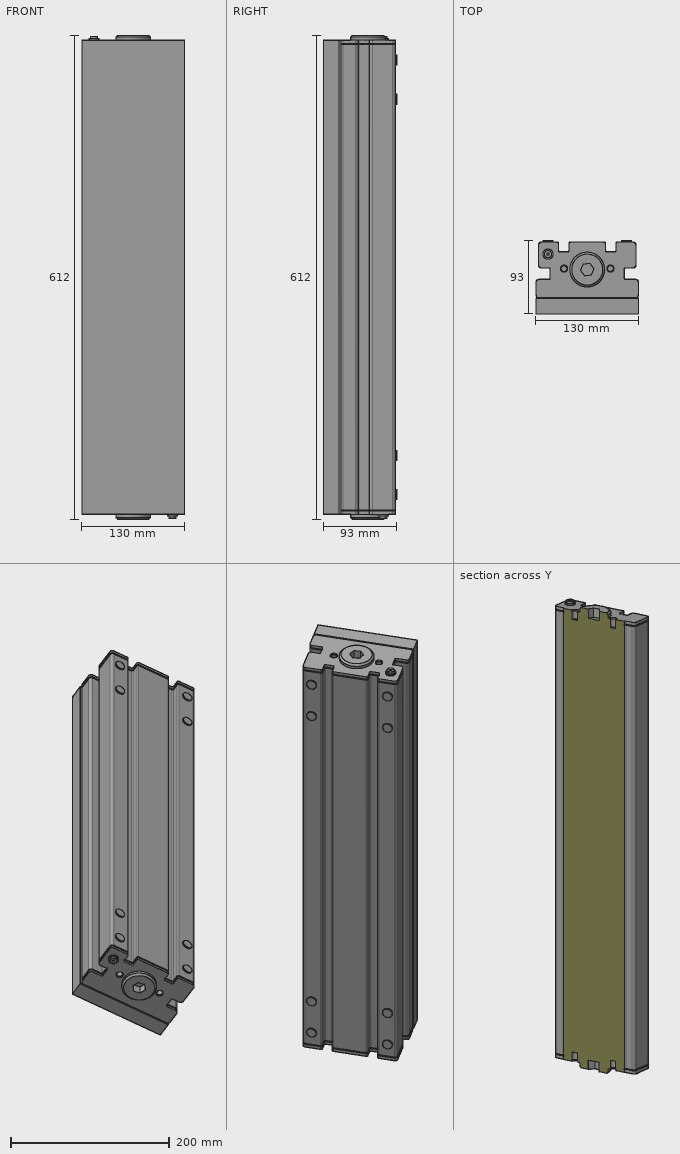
import cadquery as cq

length = 612.0
body_length = 600.0
width = 130.0
depth = 93.0
pad_height = 2.0
body_depth = depth - pad_height
body_top = body_length / 2
end_height = (length - body_length) / 2

groove_width = 1.0
groove_depth = 0.5
cap_thickness = 4.0

plate_thickness = 19.5
bar_front = plate_thickness + groove_width
upper_width = 123.5
side_slot_front = 44.0
side_slot_back = 58.0
side_slot_floor_width = 94.0
back_slot_inner = 23.0
back_slot_outer = 36.0
back_slot_floor = 79.0

edge_radius = 3.5
lip_radius = 2.0
floor_radius = 1.0

hub_y = 56.0
hub_diameter = 44.0
hub_chamfer = 2.5
socket_across_corners = 17.0
socket_depth = 12.0
socket_turn = 7.0

screw_x = 29.5
screw_y = 57.5
screw_hole_diameter = 9.0
screw_hole_depth = 2.0
screw_core_diameter = 7.5
screw_core_depth = 12.0

nipple_x = 49.5
nipple_y = 76.0
nipple_base_diameter = 13.0
nipple_base_height = 2.0
nipple_height = 5.0
nipple_tip_diameter = 9.0
nipple_bore_diameter = 3.0

pad_x = nipple_x
pad_diameter = 13.0
pad_end_distances = (25.0, 74.5)


def mirrored(solid, plane):
    return solid.union(solid.mirror(plane))


def slotted_prism(prism_length):
    """Bar with one slot in each side and two in the back, centred on Z."""
    corners = [
        (width / 2, bar_front, edge_radius),
        (width / 2, side_slot_front, edge_radius),
        (side_slot_floor_width / 2, side_slot_front, floor_radius),
        (side_slot_floor_width / 2, side_slot_back, floor_radius),
        (upper_width / 2, side_slot_back, edge_radius),
        (upper_width / 2, body_depth, edge_radius),
        (back_slot_outer, body_depth, lip_radius),
        (back_slot_outer, back_slot_floor, floor_radius),
        (back_slot_inner, back_slot_floor, floor_radius),
        (back_slot_inner, body_depth, lip_radius),
    ]
    right_points = [(x, y) for x, y, radius in corners]
    left_points = [(-x, y) for x, y in reversed(right_points)]
    prism = (
        cq.Workplane("XY")
        .polyline(right_points + left_points)
        .close()
        .extrude(prism_length / 2, both=True)
    )
    for x, y, radius in corners:
        for side in (-1, 1):
            corner = cq.selectors.NearestToPointSelector((side * x, y, 0))
            prism = prism.edges("|Z").edges(corner).fillet(radius)
    return prism


def box_from_front(box_width, box_depth, box_length):
    """Box centred on X and Z that starts at the front face."""
    return cq.Workplane("XY").box(box_width, box_depth, box_length).translate((0, box_depth / 2, 0))


def make_body():
    """Plate and slotted bar, with the grooves between plate, bar and caps."""
    bar = slotted_prism(body_length)
    core = (
        cq.Workplane("XY", origin=(0, 0, -body_top))
        .add(bar.faces("<Z").wires().vals())
        .toPending()
        .offset2D(-groove_depth)
        .extrude(body_length)
    )
    cap_groove = cq.Workplane("XY").box(2 * width, 4 * depth, groove_width)
    cap_groove_z = body_top - cap_thickness - groove_width / 2
    for z in (-cap_groove_z, cap_groove_z):
        bar = bar.cut(cap_groove.translate((0, 0, z)).cut(core))
    plate = box_from_front(width, plate_thickness, body_length)
    web = box_from_front(
        width - 2 * groove_depth,
        bar_front + edge_radius,
        body_length - 2 * groove_depth,
    )
    return plate.union(web).union(bar)


def cylinder(x, y, z, diameter, height):
    return cq.Workplane("XY", origin=(x, y, z)).circle(diameter / 2).extrude(height)


def make_hub():
    hub = cylinder(0, hub_y, body_top, hub_diameter, end_height)
    return hub.faces(">Z").chamfer(hub_chamfer)


def make_hub_socket():
    return (
        cq.Workplane("XY", origin=(0, hub_y, body_top + end_height))
        .transformed(rotate=(0, 0, socket_turn))
        .polygon(6, socket_across_corners)
        .extrude(-socket_depth)
    )


def make_nipple():
    base = cylinder(-nipple_x, nipple_y, body_top, nipple_base_diameter, nipple_base_height)
    tip = cylinder(-nipple_x, nipple_y, body_top, nipple_tip_diameter, nipple_height)
    bore = cylinder(-nipple_x, nipple_y, body_top, nipple_bore_diameter, nipple_height)
    return base.union(tip).cut(bore)


def make_screw_holes():
    hole = cylinder(screw_x, screw_y, body_top, screw_hole_diameter, -screw_hole_depth)
    core = cylinder(screw_x, screw_y, body_top, screw_core_diameter, -screw_core_depth)
    return mirrored(hole.union(core), "YZ")


def add_end_features(solid):
    """Hub, nipple and screw holes on the +Z end."""
    solid = solid.union(make_hub()).union(make_nipple())
    return solid.cut(make_hub_socket()).cut(make_screw_holes())


def turned_over(solid):
    """Half turn about Y, which swaps the two ends."""
    return solid.rotate((0, 0, 0), (0, 1, 0), 180)


def make_pads():
    points = []
    for distance in pad_end_distances:
        for x in (-pad_x, pad_x):
            for end in (-1, 1):
                points.append((x, end * (body_top - distance)))
    return (
        cq.Workplane("XZ", origin=(0, depth, 0))
        .pushPoints(points)
        .circle(pad_diameter / 2)
        .extrude(pad_height)
    )


result = add_end_features(turned_over(add_end_features(make_body())))
result = result.union(make_pads())